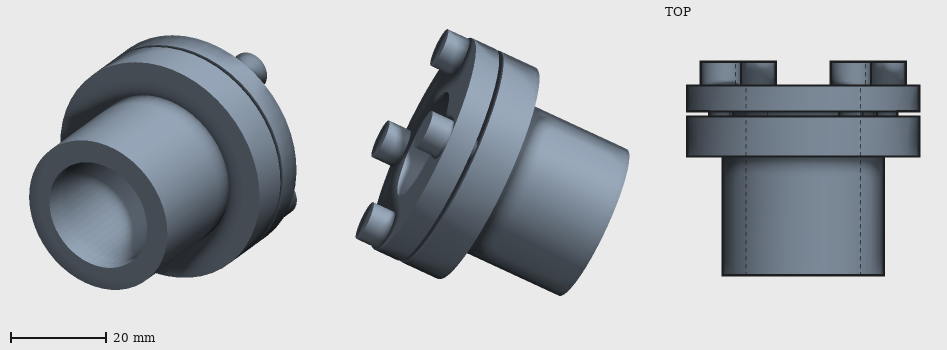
import cadquery as cq
import math

flange_diameter = 49.0
tube_diameter = 34.0
bore_diameter = 24.0
tube_length = 25.0
flange_thickness = 8.5
gap_width = 1.05
cover_thickness = 5.5
spigot_diameter = 31.05

screw_count = 4
screw_circle_radius = 20.0
first_screw_angle = 60.0
head_diameter = 8.5
head_height = 5.0
shank_diameter = 5.0

flange_front = tube_length
flange_back = flange_front + flange_thickness
cover_front = flange_back + gap_width
cover_back = cover_front + cover_thickness


def cylinder(diameter, start, length, x=0.0, z=0.0):
    """Cylinder parallel to Y, growing from `start` toward +Y."""
    base = cq.Vector(x, start, z)
    return cq.Workplane(obj=cq.Solid.makeCylinder(diameter / 2, length, base, cq.Vector(0, 1, 0)))


body = cylinder(tube_diameter, 0, tube_length)
body = body.union(cylinder(flange_diameter, flange_front, flange_thickness))
body = body.union(cylinder(spigot_diameter, flange_back, gap_width))
body = body.union(cylinder(flange_diameter, cover_front, cover_thickness))

for index in range(screw_count):
    angle = math.radians(first_screw_angle + index * 360 / screw_count)
    x = screw_circle_radius * math.cos(angle)
    z = screw_circle_radius * math.sin(angle)
    body = body.union(cylinder(shank_diameter, flange_back, gap_width, x, z))
    body = body.union(cylinder(head_diameter, cover_back, head_height, x, z))

result = body.cut(cylinder(bore_diameter, 0, cover_back))